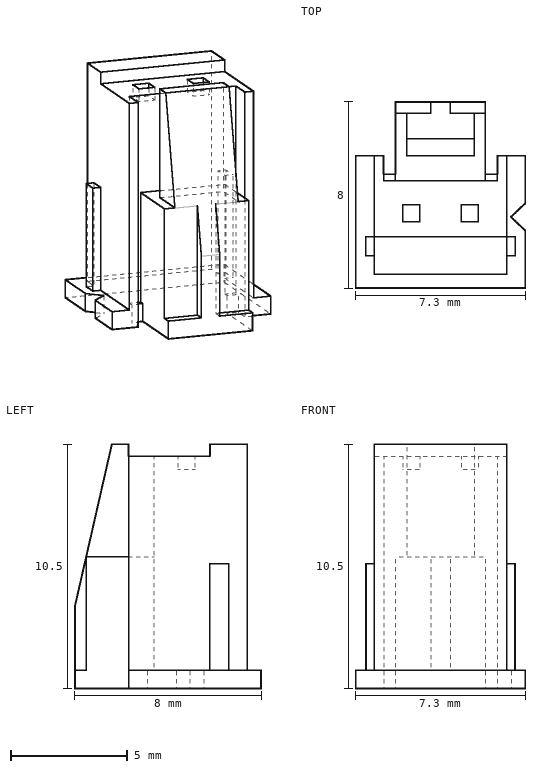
import cadquery as cq

height = 10.5
flange_width = 7.3
total_depth = 8.0
flange_height = 0.8

body_width = 5.7
body_front = 0.59
body_back = 5.69
ledge_z = 9.99
recess_width = 4.89
recess_floor = 4.62
flange_recess_floor = 4.89

rib_span = 6.42
rib_front = 1.39
rib_back = 2.2
rib_top = 5.38

hole_side = 0.72
hole_spacing = 2.5
hole_y = 3.21
hole_depth = 0.56

notch_y = 3.06
notch_half_width = 0.59
notch_depth = 0.62

latch_width = 3.86
latch_back = 7.52
arm_width = 2.91
arm_top_back = 6.42
ramp_bottom_z = 3.55
spine_width = 0.84

ramp_slope = (height - ramp_bottom_z) / (total_depth - arm_top_back)
latch_top = height - ramp_slope * (latch_back - arm_top_back)


def block(width, y_front, y_back, z_bottom, z_top):
    """Box centred on X = 0."""
    box = cq.Workplane("XY").box(width, y_back - y_front, z_top - z_bottom, centered=(True, False, False))
    return box.translate((0, y_front, z_bottom))


def make_flange():
    edge_x = flange_width / 2
    notch = (
        cq.Workplane("XY")
        .moveTo(edge_x, notch_y - notch_half_width)
        .lineTo(edge_x - notch_depth, notch_y)
        .lineTo(edge_x, notch_y + notch_half_width)
        .close()
        .extrude(flange_height)
    )
    back_opening = block(recess_width, flange_recess_floor, body_back, 0, flange_height)
    return block(flange_width, 0, body_back, 0, flange_height).cut(notch).cut(back_opening)


def make_housing():
    front_wall = block(body_width, body_front, rib_back, 0, height)
    core = block(body_width, rib_back, body_back, 0, ledge_z)
    back_recess = block(recess_width, recess_floor, body_back, 0, ledge_z)
    ribs = block(rib_span, rib_front, rib_back, 0, rib_top)
    return front_wall.union(core.cut(back_recess)).union(ribs)


def make_contact_holes():
    return (
        cq.Workplane("XY", origin=(0, hole_y, ledge_z))
        .rarray(hole_spacing, 0.1, 2, 1)
        .rect(hole_side, hole_side)
        .extrude(-hole_depth)
    )


def make_latch():
    """Base block with a foot, and a ramped arm that narrows to a spine behind the block."""
    base = block(latch_width, recess_floor, latch_back, 0, latch_top)
    foot = block(latch_width, latch_back, total_depth, 0, flange_height)
    ramp = (
        cq.Workplane("YZ")
        .polyline([
            (body_back, 0),
            (total_depth, 0),
            (total_depth, ramp_bottom_z),
            (arm_top_back, height),
            (body_back, height),
        ])
        .close()
        .extrude(arm_width / 2, both=True)
    )
    arm = ramp.intersect(block(arm_width, body_back, latch_back, 0, height))
    spine = ramp.intersect(block(spine_width, latch_back, total_depth, 0, height))
    return base.union(foot).union(arm).union(spine)


result = make_flange().union(make_housing()).cut(make_contact_holes()).union(make_latch())